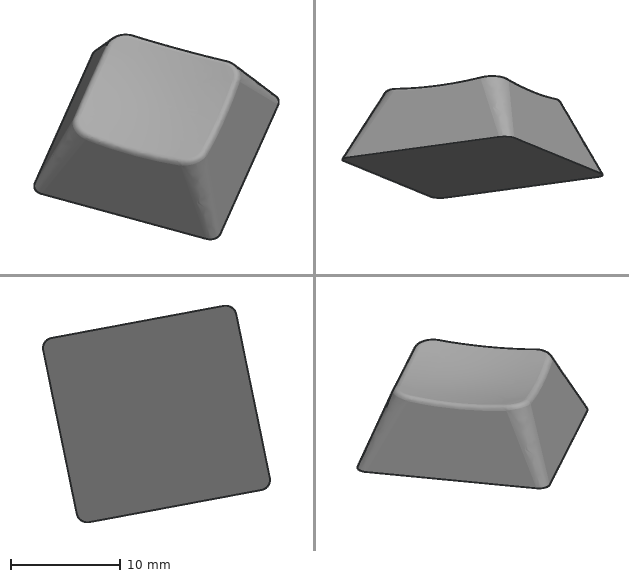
import cadquery as cq

base_width = 18.0
base_corner_radius = 1.0
blank_height = 8.1
wall_inset = 3.24
top_width = base_width - 2 * wall_inset
top_corner_radius = 2.1

dish_radius = 37.44
dish_floor_height = 5.94
rim_fillet = 0.55


def rounded_square(width, corner_radius):
    return cq.Sketch().rect(width, width).vertices().fillet(corner_radius)


def tapered_blank():
    """Loft between two rounded squares, with corners that widen upwards."""
    base = rounded_square(base_width, base_corner_radius)
    top = rounded_square(top_width, top_corner_radius)
    raised_top = top.moved(cq.Location(cq.Vector(0, 0, blank_height)))
    return cq.Workplane("XY").placeSketch(base, raised_top).loft(ruled=True)


def dish_ball():
    """Large ball whose underside forms the dished top."""
    centre_height = dish_floor_height + dish_radius
    return cq.Workplane("XY", origin=(0, 0, centre_height)).sphere(dish_radius)


def round_rim(body):
    """Fillet the edge where the dish meets the walls."""
    rim_edges = body.faces("%SPHERE").edges().vals()
    return body.newObject(rim_edges).fillet(rim_fillet)


result = round_rim(tapered_blank().cut(dish_ball()))